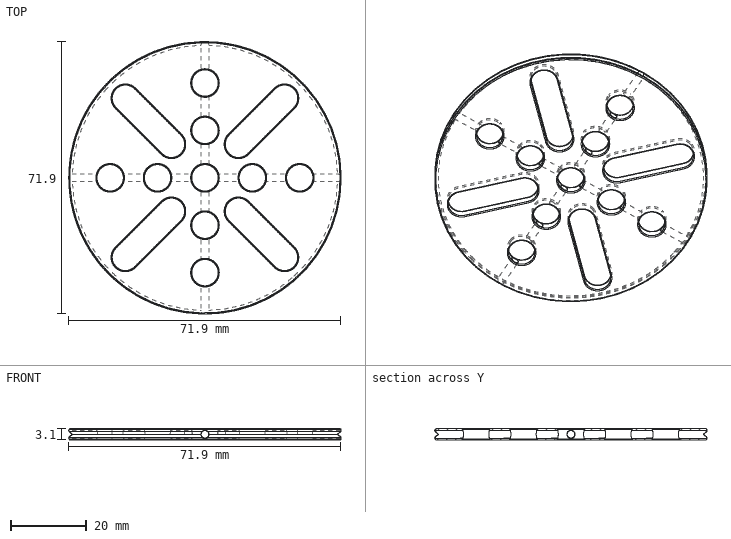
import cadquery as cq

disc_diameter = 71.9
thickness = 3.1
edge_chamfer = 0.3

groove_half_width = 0.8
groove_depth = 0.9

hole_diameter = 7.0
hole_pitch = 12.5
holes_each_side = 2
slot_inner_radius = hole_pitch
slot_outer_radius = 29.7
slot_angles = (45, 135, 225, 315)

cross_hole_diameter = 2.0
cross_hole_seam_angle = 30

disc_radius = disc_diameter / 2
half_thickness = thickness / 2


def make_disc():
    """Revolve the rim section, with chamfered edges and a V-groove, about Z."""
    groove_tip_radius = disc_radius - groove_depth
    face_radius = disc_radius - edge_chamfer
    rim_height = half_thickness - edge_chamfer
    section = (
        cq.Workplane("XZ")
        .moveTo(0, -half_thickness)
        .lineTo(face_radius, -half_thickness)
        .lineTo(disc_radius, -rim_height)
        .lineTo(disc_radius, -groove_half_width)
        .lineTo(groove_tip_radius, 0)
        .lineTo(disc_radius, groove_half_width)
        .lineTo(disc_radius, rim_height)
        .lineTo(face_radius, half_thickness)
        .lineTo(0, half_thickness)
        .close()
    )
    return section.revolve(360, (0, 0, 0), (0, 1, 0))


def hole_positions():
    """Centres of the holes forming a cross, with one hole in the middle."""
    positions = [(0, 0)]
    for step in range(1, holes_each_side + 1):
        offset = step * hole_pitch
        positions += [(offset, 0), (-offset, 0), (0, offset), (0, -offset)]
    return positions


def make_openings():
    """Upright round and slotted plugs that fill the holes and slots."""
    base = cq.Workplane("XY").workplane(offset=-half_thickness)
    openings = base.pushPoints(hole_positions()).circle(hole_diameter / 2).extrude(thickness)

    slot_length = slot_outer_radius - slot_inner_radius + hole_diameter
    slot_middle = (slot_inner_radius + slot_outer_radius) / 2
    slot = base.center(slot_middle, 0).slot2D(slot_length, hole_diameter).extrude(thickness)
    for angle in slot_angles:
        openings = openings.add(slot.rotate((0, 0, 0), (0, 0, 1), angle))
    return openings.combine()


def cross_hole(plane):
    """Cylinder running right across the disc and past its rim, normal to the given plane."""
    turned = cq.Workplane(plane).transformed(rotate=(0, 0, cross_hole_seam_angle))
    return turned.circle(cross_hole_diameter / 2).extrude(disc_diameter, both=True)


plate = make_disc().cut(make_openings())
opening_wires = [wire for face in plate.faces("|Z").vals() for wire in face.innerWires()]
opening_edges = [edge for wire in opening_wires for edge in wire.Edges()]
plate = plate.newObject(opening_edges).chamfer(edge_chamfer)

result = plate.cut(cross_hole("XZ")).cut(cross_hole("YZ"))